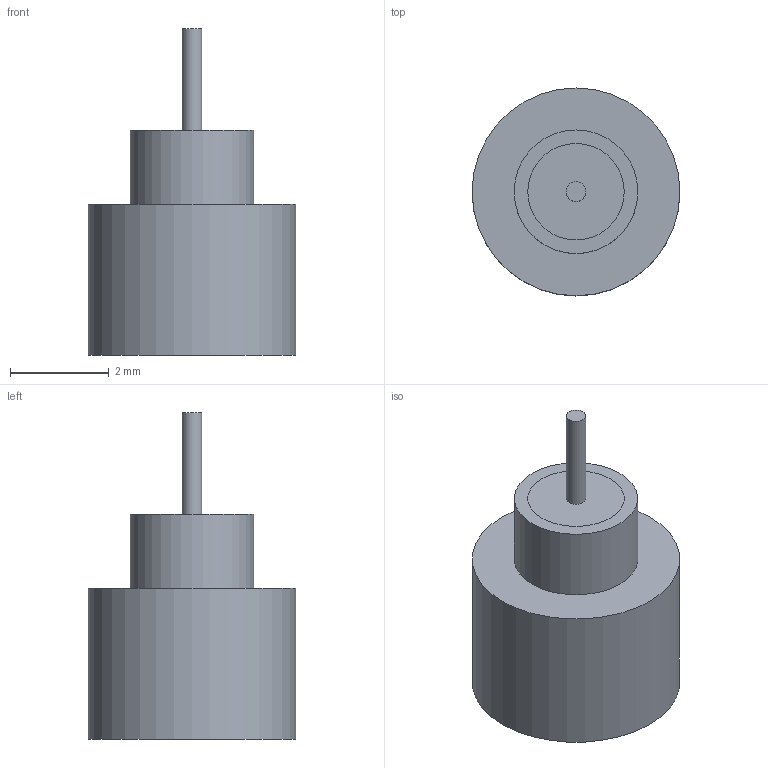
import cadquery as cq

body_diameter = 4.2
body_height = 3.05
neck_diameter = 2.5
neck_height = 1.5
insulator_diameter = 1.95
pin_diameter = 0.4
total_height = 6.6

neck_top = body_height + neck_height
pin_length = total_height - neck_top


def cylinder(diameter, height, base):
    """Upright cylinder on the Z axis, standing on the height `base`."""
    return cq.Workplane("XY").workplane(offset=base).circle(diameter / 2).extrude(height)


def make_shell():
    """Stepped body whose neck is bored out to hold the insulator."""
    body = cylinder(body_diameter, body_height, 0)
    neck = cylinder(neck_diameter, neck_height, body_height)
    bore = cylinder(insulator_diameter, neck_height, body_height)
    return body.union(neck).cut(bore)


insulator = cylinder(insulator_diameter, neck_height, body_height)
pin = cylinder(pin_diameter, pin_length, neck_top)

result = make_shell().union(insulator, clean=False).union(pin, clean=False)